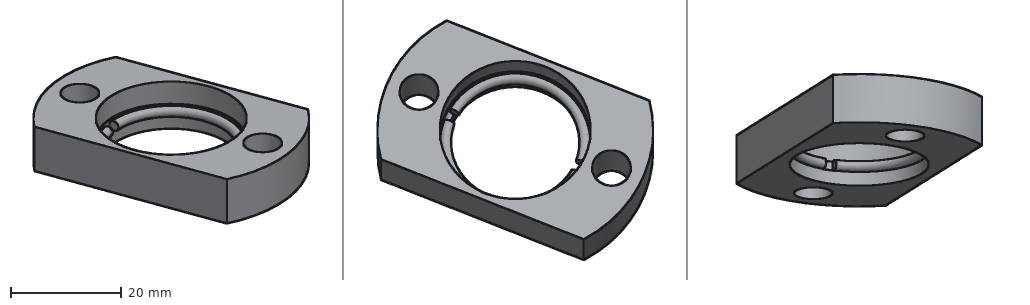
import cadquery as cq

body_diameter = 50.0
body_width = 30.0
body_height = 9.2

hole_diameter = 7.0
hole_spacing = 38.0

ring_wire_radius = 1.0
ring_center_radius = 12.6
ring_gap_angle = 10.0
ring_clearance = 0.075
ring_center_z = body_height / 2 - ring_wire_radius
seat_radius = ring_center_radius + ring_wire_radius
bore_radius = seat_radius + ring_clearance


def make_body():
    disc = cq.Workplane("XY").circle(body_diameter / 2).extrude(body_height)
    flats = cq.Workplane("XY").rect(body_diameter, body_width).extrude(body_height)
    holes = (
        cq.Workplane("XY")
        .pushPoints([(-hole_spacing / 2, 0), (hole_spacing / 2, 0)])
        .circle(hole_diameter / 2)
        .extrude(body_height)
    )
    return disc.intersect(flats).cut(holes)


def make_bore():
    """Upper bore, shallow seat step, quarter-round ledge and lower bore."""
    ledge_z = ring_center_z - ring_wire_radius
    seat_top_z = ring_center_z + ring_wire_radius
    diagonal = ring_wire_radius / 2 ** 0.5
    return (
        cq.Workplane("XZ")
        .moveTo(0, 0)
        .lineTo(ring_center_radius, 0)
        .lineTo(ring_center_radius, ledge_z)
        .threePointArc(
            (ring_center_radius + diagonal, ring_center_z - diagonal),
            (seat_radius, ring_center_z),
        )
        .lineTo(seat_radius, seat_top_z)
        .lineTo(bore_radius, seat_top_z)
        .lineTo(bore_radius, body_height)
        .lineTo(0, body_height)
        .close()
        .revolve(360, (0, 0, 0), (0, 1, 0))
    )


def make_ring():
    """Two round-wire arcs separated by an angular gap at each end of the X axis."""
    arc = (
        cq.Workplane("XZ")
        .center(ring_center_radius, ring_center_z)
        .circle(ring_wire_radius)
        .revolve(180 - ring_gap_angle, (-ring_center_radius, 0, 0), (-ring_center_radius, -1, 0))
    )
    axis_start, axis_end = (0, 0, 0), (0, 0, 1)
    first_arc = arc.rotate(axis_start, axis_end, -ring_gap_angle / 2)
    second_arc = first_arc.rotate(axis_start, axis_end, 180)
    return first_arc.add(second_arc)


ring = make_ring()
result = make_body().cut(make_bore()).union(ring)